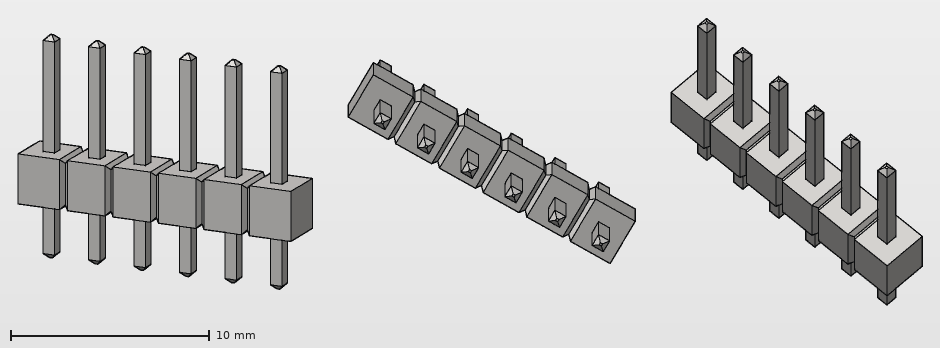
import cadquery as cq

pin_count = 6
pitch = 2.54
body_depth = 2.54
body_height = 2.64
groove_depth = 0.225
pin_width = 0.65
pin_above_body = 6.1
pin_below_body = 3.0
tip_bevel = 0.26

pin_length = pin_below_body + body_height + pin_above_body
first_pin_x = -(pin_count - 1) * pitch / 2
pin_positions = [first_pin_x + i * pitch for i in range(pin_count)]


def make_pin(x):
    """Square pin with both ends bevelled on all four sides."""
    pin = (
        cq.Workplane("XY")
        .box(pin_width, pin_width, pin_length, centered=(True, True, False))
        .faces("<Z or >Z")
        .chamfer(tip_bevel)
    )
    return pin.translate((x, 0, -pin_below_body)).solids()


def make_housing_block(x):
    """Housing block around one pin, bevelled around each end face that adjoins another block."""
    block = cq.Workplane("XY").box(pitch, body_depth, body_height, centered=(True, True, False))
    if x != pin_positions[0]:
        block = block.faces("<X").chamfer(groove_depth)
    if x != pin_positions[-1]:
        block = block.faces(">X").chamfer(groove_depth)
    return block.translate((x, 0, 0))


def make_housing():
    """Row of joined blocks; facing bevels form the V-grooves, and each pin has a square hole."""
    row = make_housing_block(pin_positions[0])
    for x in pin_positions[1:]:
        row = row.union(make_housing_block(x))
    pin_holes = (
        cq.Workplane("XY")
        .pushPoints([(x, 0) for x in pin_positions])
        .rect(pin_width, pin_width)
        .extrude(body_height)
    )
    return row.cut(pin_holes).solids()


housing = make_housing()
pins = [make_pin(x) for x in pin_positions]

result = cq.Compound.makeCompound([housing.val(), *[pin.val() for pin in pins]])